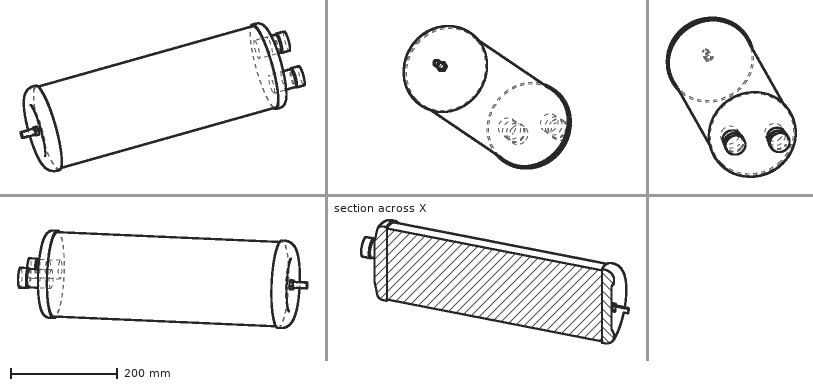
import cadquery as cq
import math


OVERALL_LENGTH = 541.5
SHELL_RADIUS = 79.5
CAP_DIAMETER = 165.0
CAP_RADIUS = CAP_DIAMETER / 2

FRONT_SKIRT = 5.0
RIM_RADIUS = 20.0
DISC_RADIUS = 46.0
DISC_BLEND_WIDTH = 5.0

REAR_CAP_HEIGHT = 25.0
REAR_SKIRT = 7.0
KNUCKLE_RADIUS = 12.5
SHOULDER_ANGLE = 11.5

PORT_LENGTH = 34.5
PORT_OFFSET = 42.0
PORT_TUBE_DIAMETER = 35.0
PORT_TUBE_RADIUS = PORT_TUBE_DIAMETER / 2
PORT_COLLAR_RADIUS = 19.0
PORT_COLLAR_LENGTH = 15.0
PORT_TAPER_LENGTH = 2.0

STEM_LENGTH = 26.5
STEM_RADIUS = 6.0
STEM_BORE_RADIUS = 4.0
FOOT_ACROSS_CORNERS = 18.0
FOOT_REACH = 0.5

Y_STEM_END = -OVERALL_LENGTH / 2
Y_PORT_END = OVERALL_LENGTH / 2
Y_RIM = Y_STEM_END + STEM_LENGTH
Y_RIM_CENTRE = Y_RIM + RIM_RADIUS
Y_SHELL_FRONT = Y_RIM_CENTRE + FRONT_SKIRT
Y_CROWN = Y_PORT_END - PORT_LENGTH
Y_SHELL_REAR = Y_CROWN - REAR_CAP_HEIGHT

RIM_CENTRE_R = CAP_RADIUS - RIM_RADIUS
BLEND_OUTER_R = DISC_RADIUS + DISC_BLEND_WIDTH
RIM_END_ANGLE = math.acos((RIM_CENTRE_R - BLEND_OUTER_R) / RIM_RADIUS)
Y_BLEND_OUTER = Y_RIM_CENTRE - RIM_RADIUS * math.sin(RIM_END_ANGLE)
BLEND_RADIUS = DISC_BLEND_WIDTH / math.cos(RIM_END_ANGLE)
Y_DISC = Y_BLEND_OUTER + BLEND_RADIUS * (1 - math.sin(RIM_END_ANGLE))


def start_profile(radius, y):
    """Start a profile in the XY plane, where X is the radius."""
    return cq.Workplane("XY").moveTo(radius, y)


def revolve_about_y(profile):
    """Close a (radius, y) profile and revolve it about the Y axis."""
    return profile.close().revolve(360, (0, 0, 0), (0, 1, 0))


def make_shell():
    return revolve_about_y(
        start_profile(0, Y_SHELL_FRONT)
        .lineTo(SHELL_RADIUS, Y_SHELL_FRONT)
        .lineTo(SHELL_RADIUS, Y_SHELL_REAR)
        .lineTo(0, Y_SHELL_REAR)
    )


def make_front_cap():
    return revolve_about_y(
        start_profile(0, Y_SHELL_FRONT)
        .lineTo(CAP_RADIUS, Y_SHELL_FRONT)
        .lineTo(CAP_RADIUS, Y_RIM_CENTRE)
        .threePointArc((RIM_CENTRE_R, Y_RIM), (BLEND_OUTER_R, Y_BLEND_OUTER))
        .tangentArcPoint((DISC_RADIUS, Y_DISC), relative=False)
        .lineTo(0, Y_DISC)
    )


def make_rear_cap(ports):
    """Rear cap with a hole for each port."""
    angle = math.radians(SHOULDER_ANGLE)
    y_knuckle_start = Y_SHELL_REAR + REAR_SKIRT
    knuckle_end_r = CAP_RADIUS - KNUCKLE_RADIUS * (1 - math.sin(angle))
    y_knuckle_end = y_knuckle_start + KNUCKLE_RADIUS * math.cos(angle)
    crown_radius = knuckle_end_r - (Y_CROWN - y_knuckle_end) / math.tan(angle)
    cap = revolve_about_y(
        start_profile(0, Y_SHELL_REAR)
        .lineTo(CAP_RADIUS, Y_SHELL_REAR)
        .lineTo(CAP_RADIUS, y_knuckle_start)
        .tangentArcPoint((knuckle_end_r, y_knuckle_end), relative=False)
        .lineTo(crown_radius, Y_CROWN)
        .lineTo(0, Y_CROWN)
    )
    for port in ports:
        cap = cap.cut(port)
    return cap


def make_port(x):
    """Port that passes through the rear cap and rests on the shell end."""
    y_collar = Y_PORT_END - PORT_COLLAR_LENGTH
    port = revolve_about_y(
        start_profile(0, Y_SHELL_REAR)
        .lineTo(PORT_TUBE_RADIUS, Y_SHELL_REAR)
        .lineTo(PORT_TUBE_RADIUS, y_collar - PORT_TAPER_LENGTH)
        .lineTo(PORT_COLLAR_RADIUS, y_collar)
        .lineTo(PORT_COLLAR_RADIUS, Y_PORT_END)
        .lineTo(0, Y_PORT_END)
    )
    return port.translate((x, 0, 0))


def make_stem():
    """Drain tube with a hexagonal foot on the sunken disc; hexagon corners point along X."""
    tube_wall = revolve_about_y(
        start_profile(STEM_BORE_RADIUS, Y_DISC)
        .lineTo(STEM_RADIUS, Y_DISC)
        .lineTo(STEM_RADIUS, Y_STEM_END)
        .lineTo(STEM_BORE_RADIUS, Y_STEM_END)
    )
    foot_height = Y_DISC - (Y_RIM - FOOT_REACH)
    foot = (
        cq.Workplane("XZ", origin=(0, Y_DISC, 0))
        .polygon(6, FOOT_ACROSS_CORNERS)
        .circle(STEM_BORE_RADIUS)
        .extrude(foot_height)
    )
    return tube_wall.union(foot)


shell = make_shell()
front_cap = make_front_cap()
ports = [make_port(x) for x in (-PORT_OFFSET, PORT_OFFSET)]
rear_cap = make_rear_cap(ports)
stem = make_stem()

result = cq.Compound.makeCompound(
    [
        shell.val(),
        front_cap.val(),
        rear_cap.solids().val(),
        *[port.val() for port in ports],
        stem.solids().val(),
    ]
)